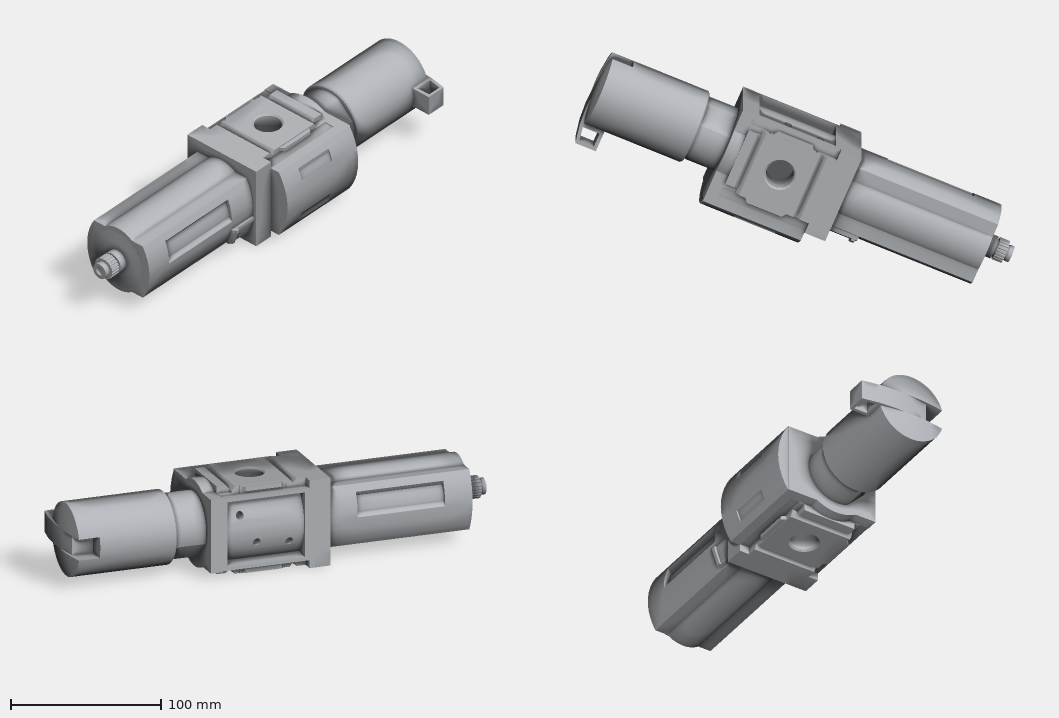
import cadquery as cq
import math


HALF_WIDTH = 62.0 / 2
HOUSING_BOTTOM_Y = -46.0
HOUSING_TOP_Y = 39.5
CORE_HALF_LENGTH = 31.0
CORE_HALF_WIDTH = 47.5 / 2
FRAME_HALF_HEIGHT = 26.0
STRIP_HALF_HEIGHT = 25.5
COLLAR_RADIUS = 30.2
COLLAR_HALF_CHORD = 15.0

GROOVE_INNER_Y = 19.5
GROOVE_OUTER_Y = 24.5
GROOVE_DEPTH = 3.0
PAD_HALF_WIDTH = 20.0
CORNER_FLOOR_Z = 26.3

TAB_HALF_LENGTH = 14.8
TAB_REACH = 3.0
TAB_CHAMFER = 2.0
TAB_LOW_Z = 27.5
TAB_HIGH_Z = 30.2

NOTCH_INNER_Y = 16.3
NOTCH_WIDTH = 1.5
NOTCH_DEPTH = 0.5

PORT_DIAMETER = 18.7
PORT_MOUTH_DIAMETER = 21.0
PORT_DEPTH = 21.0

WINDOW_HALF_LENGTH = 27.8
WINDOW_HALF_HEIGHT = 23.0
WINDOW_FLOOR_HALF_HEIGHT = 21.5
WINDOW_DEPTH = 15.0
INNER_WALL_RADIUS = 29.5
SMALL_HOLE_DIAMETER = 5.5
SMALL_HOLE_DEPTH = 9.0
SMALL_HOLE_PLACES = [(17.5, 11.2), (5.7, -8.8), (-17.8, -11.2)]

SIDE_PLATE_X = HALF_WIDTH + 7.2
COVER_X = HALF_WIDTH + 15.0
COVER_BOTTOM_Y = -31.5
COVER_TOP_Y = 39.0
COVER_SLOT_HALF_LENGTH = 15.0
COVER_SLOT_INNER_X = 40.8
COVER_SLOT_OUTER_X = 44.0
COVER_SLOT_DEPTH = 3.0

BOWL_BOTTOM_Y = -148.8
BOWL_HALF_WIDTH = 55.8 / 2
BOWL_FLAT_Z = 42.5 / 2
BOWL_CORNER_X = 43.8 / 2
BOWL_CROWN_Z = 25.5
BOWL_CROWN_HALF_WIDTH = 24.5 / 2
SIGHT_TOP_Y = -66.7
SIGHT_BOTTOM_Y = -129.2
SIGHT_OUTER_Z = (-0.5, 16.3)
SIGHT_FLOOR_Z = (2.0, 13.0)
SIGHT_FLOOR_RADIUS = 51.0 / 2
CONE_RADIUS = 43.2 / 2
CONE_END_RADIUS = 23.8 / 2
CONE_HEIGHT = 1.0

LATCH_OUTLINE = [(21.0, -20.5), (25.5, -20.5), (29.0, -10.0), (29.0, -7.5), (26.0, -7.5)]
LATCH_BOTTOM_Y = -66.7
LATCH_RIDGE_OUTLINE = [(25.5, -20.5), (27.0, -20.5), (30.8, -10.0), (30.8, -7.5), (26.0, -7.5)]
LATCH_RIDGE_TOP_Y = -62.8
LATCH_RIDGE_LENGTH = 2.7

DRAIN_END_Y = -167.5
DRAIN_RADIUS = 15.7 / 2
DRAIN_NECK_RADIUS = 11.8 / 2
DRAIN_TIP_RADIUS = 11.5 / 2
DRAIN_TIP_NECK_RADIUS = 11.0 / 2
COLLAR_END_Y = -155.2
KNURL_TOP_Y = -156.5
KNURL_BOTTOM_Y = -163.3
TIP_TOP_Y = -164.8
FLUTE_COUNT = 20
FLUTE_DIAMETER = 1.2
DRAIN_BORE_DIAMETER = 6.0
DRAIN_BORE_DEPTH = 9.0

NECK_RADIUS = 22.3
NECK_FLAT_DISTANCE = 20.5
NECK_FLAT_ANGLE = 45.0
KNOB_RADIUS = 51.0 / 2
KNOB_BOTTOM_Y = 61.3
KNOB_EDGE_Y = 131.3
KNOB_CHAMFER = 1.0
CROWN_Y = 134.3

SLIDE_HALF_THICKNESS = 14.8 / 2
SLIDE_BOTTOM_Y = 116.5
SLIDE_TRAVEL = 14.0
SLIDE_FLOOR = 2.5
SLIDE_WALL = 1.95
EYE_LEFT_X = 27.2


def box(x_range, y_range, z_range):
    """Box between the given limits along each axis."""
    return cq.Workplane("XY").box(
        x_range[1] - x_range[0], y_range[1] - y_range[0], z_range[1] - z_range[0], centered=False
    ).translate((x_range[0], y_range[0], z_range[0]))


def section_at(y):
    """Workplane across the axis at height y; its local axes are X and Z, its normal is -Y."""
    return cq.Workplane("XZ", origin=(0, y, 0))


def disc(radius, y_low, y_high):
    """Cylinder about the Y axis."""
    return section_at(y_high).circle(radius).extrude(y_high - y_low)


def both_faces(feature):
    """A feature of the +Z face together with its mirror image at the -Z face."""
    return feature.union(feature.mirror("XY"))


def both_sides(feature):
    """A feature of the -X side together with its mirror image at the +X side."""
    return feature.union(feature.mirror("YZ"))


def frame_and_core():
    """Square base, raised core between lowered side strips, and top plate with round collar."""
    full = (-HALF_WIDTH, HALF_WIDTH)
    core_length = (-CORE_HALF_LENGTH, CORE_HALF_LENGTH)
    base = box(full, (HOUSING_BOTTOM_Y, -CORE_HALF_LENGTH), full)
    core = box((-CORE_HALF_WIDTH, CORE_HALF_WIDTH), core_length, full)
    strips = box(full, core_length, (-STRIP_HALF_HEIGHT, STRIP_HALF_HEIGHT))
    plate_y = (CORE_HALF_LENGTH, HOUSING_TOP_Y)
    plate = box((-HALF_WIDTH, SIDE_PLATE_X), plate_y, (-FRAME_HALF_HEIGHT, FRAME_HALF_HEIGHT))
    collar = disc(COLLAR_RADIUS, *plate_y).intersect(
        box((-COLLAR_HALF_CHORD, COLLAR_HALF_CHORD), plate_y, full)
    )
    return base.union(core).union(strips).union(plate).union(collar)


def groove_cutter():
    """V-grooves across both port faces, and the low corners beside the raised pads."""
    bottom_y = (GROOVE_INNER_Y + GROOVE_OUTER_Y) / 2
    bottom_z = HALF_WIDTH - GROOVE_DEPTH
    v_groove = (
        cq.Workplane("YZ", origin=(-CORE_HALF_WIDTH, 0, 0))
        .polyline([(GROOVE_INNER_Y, HALF_WIDTH), (bottom_y, bottom_z), (GROOVE_OUTER_Y, HALF_WIDTH)])
        .close()
        .extrude(2 * CORE_HALF_WIDTH)
    )
    corner = box(
        (-CORE_HALF_WIDTH, -PAD_HALF_WIDTH),
        (bottom_y, CORE_HALF_LENGTH),
        (CORNER_FLOOR_Z, HALF_WIDTH),
    )
    return both_faces(v_groove.union(v_groove.mirror("XZ")).union(both_sides(corner)))


def side_tabs():
    """Thin trapezoidal tabs on both sides of both port faces."""
    tip_x = -CORE_HALF_WIDTH - TAB_REACH
    tip_half_length = TAB_HALF_LENGTH - TAB_CHAMFER
    tab = (
        cq.Workplane("XY", origin=(0, 0, TAB_LOW_Z))
        .polyline([
            (-CORE_HALF_WIDTH, -TAB_HALF_LENGTH),
            (tip_x, -tip_half_length),
            (tip_x, tip_half_length),
            (-CORE_HALF_WIDTH, TAB_HALF_LENGTH),
        ])
        .close()
        .extrude(TAB_HIGH_Z - TAB_LOW_Z)
    )
    return both_faces(both_sides(tab))


def notch_cutter():
    """Shallow upright notches in the -X side of the core, at both ends of each tab."""
    notch = box(
        (-CORE_HALF_WIDTH, -CORE_HALF_WIDTH + NOTCH_DEPTH),
        (NOTCH_INNER_Y, NOTCH_INNER_Y + NOTCH_WIDTH),
        (STRIP_HALF_HEIGHT, HALF_WIDTH),
    )
    return both_faces(notch.union(notch.mirror("XZ")))


def port_cutter():
    """Countersunk blind ports in both port faces."""
    rim = (PORT_MOUTH_DIAMETER - PORT_DIAMETER) / 2
    half_profile = [
        (0, HALF_WIDTH),
        (PORT_MOUTH_DIAMETER / 2, HALF_WIDTH),
        (PORT_DIAMETER / 2, HALF_WIDTH - rim),
        (PORT_DIAMETER / 2, HALF_WIDTH - PORT_DEPTH),
        (0, HALF_WIDTH - PORT_DEPTH),
    ]
    port = cq.Workplane("XZ").polyline(half_profile).close().revolve(360, (0, 0, 0), (0, 1, 0))
    return both_faces(port)


def window_cutter():
    """Tapered opening in the -X side around the cylindrical inner wall, with its small holes."""
    floor_x = -HALF_WIDTH + WINDOW_DEPTH
    opening = (
        section_at(WINDOW_HALF_LENGTH)
        .polyline([
            (-HALF_WIDTH, -WINDOW_HALF_HEIGHT),
            (floor_x, -WINDOW_FLOOR_HALF_HEIGHT),
            (floor_x, WINDOW_FLOOR_HALF_HEIGHT),
            (-HALF_WIDTH, WINDOW_HALF_HEIGHT),
        ])
        .close()
        .extrude(2 * WINDOW_HALF_LENGTH)
        .cut(disc(INNER_WALL_RADIUS, -WINDOW_HALF_LENGTH, WINDOW_HALF_LENGTH))
    )
    for y, z in SMALL_HOLE_PLACES:
        wall_x = -math.sqrt(INNER_WALL_RADIUS**2 - z**2)
        hole_end_x = wall_x + SMALL_HOLE_DEPTH
        hole = (
            cq.Workplane("YZ", origin=(-HALF_WIDTH, y, z))
            .circle(SMALL_HOLE_DIAMETER / 2)
            .extrude(hole_end_x + HALF_WIDTH)
        )
        opening = opening.union(hole)
    return opening


def gauge_cover():
    """Side plate with the curved cover and its two shallow slots."""
    plate = box(
        (HALF_WIDTH, SIDE_PLATE_X),
        (COVER_BOTTOM_Y, HOUSING_TOP_Y),
        (-FRAME_HALF_HEIGHT, FRAME_HALF_HEIGHT),
    )
    cover = (
        section_at(COVER_TOP_Y)
        .moveTo(SIDE_PLATE_X, -FRAME_HALF_HEIGHT)
        .threePointArc((COVER_X, 0), (SIDE_PLATE_X, FRAME_HALF_HEIGHT))
        .close()
        .extrude(COVER_TOP_Y - COVER_BOTTOM_Y)
    )
    rise = COVER_X - SIDE_PLATE_X
    arc_radius = (rise**2 + FRAME_HALF_HEIGHT**2) / (2 * rise)
    arc_centre_x = COVER_X - arc_radius

    def surface_z(x):
        return math.sqrt(arc_radius**2 - (x - arc_centre_x)**2)

    inner_z = surface_z(COVER_SLOT_INNER_X)
    outer_z = surface_z(COVER_SLOT_OUTER_X)
    slot = (
        section_at(COVER_SLOT_HALF_LENGTH)
        .polyline([
            (COVER_SLOT_INNER_X, inner_z - COVER_SLOT_DEPTH),
            (COVER_SLOT_OUTER_X, outer_z - COVER_SLOT_DEPTH),
            (COVER_SLOT_OUTER_X, FRAME_HALF_HEIGHT),
            (COVER_SLOT_INNER_X, FRAME_HALF_HEIGHT),
        ])
        .close()
        .extrude(2 * COVER_SLOT_HALF_LENGTH)
    )
    return plate.union(cover.cut(both_faces(slot)))


def sight_slot_cutter():
    """Slots with flared long walls in both sides of the bowl, down to a cylindrical floor."""
    outer_low, outer_high = SIGHT_OUTER_Z
    floor_low, floor_high = SIGHT_FLOOR_Z

    def bowl_side_x(z):
        sag = BOWL_HALF_WIDTH - BOWL_CORNER_X
        side_radius = (sag**2 + BOWL_FLAT_Z**2) / (2 * sag)
        return BOWL_HALF_WIDTH - side_radius + math.sqrt(side_radius**2 - z**2)

    def floor_x(z):
        return math.sqrt(SIGHT_FLOOR_RADIUS**2 - z**2)

    floor_middle_z = (floor_low + floor_high) / 2
    slot = (
        section_at(SIGHT_TOP_Y)
        .moveTo(-HALF_WIDTH, outer_low)
        .lineTo(-bowl_side_x(outer_low), outer_low)
        .lineTo(-floor_x(floor_low), floor_low)
        .threePointArc((-floor_x(floor_middle_z), floor_middle_z), (-floor_x(floor_high), floor_high))
        .lineTo(-bowl_side_x(outer_high), outer_high)
        .lineTo(-HALF_WIDTH, outer_high)
        .close()
        .extrude(SIGHT_TOP_Y - SIGHT_BOTTOM_Y)
    )
    return both_sides(slot)


def bowl():
    """Bowl with round sides and crowned flats, sight slots, latch and conical bottom."""
    shell = (
        section_at(HOUSING_BOTTOM_Y)
        .moveTo(-BOWL_CORNER_X, BOWL_FLAT_Z)
        .lineTo(-BOWL_CROWN_HALF_WIDTH, BOWL_FLAT_Z)
        .threePointArc((0, BOWL_CROWN_Z), (BOWL_CROWN_HALF_WIDTH, BOWL_FLAT_Z))
        .lineTo(BOWL_CORNER_X, BOWL_FLAT_Z)
        .threePointArc((BOWL_HALF_WIDTH, 0), (BOWL_CORNER_X, -BOWL_FLAT_Z))
        .lineTo(BOWL_CROWN_HALF_WIDTH, -BOWL_FLAT_Z)
        .threePointArc((0, -BOWL_CROWN_Z), (-BOWL_CROWN_HALF_WIDTH, -BOWL_FLAT_Z))
        .lineTo(-BOWL_CORNER_X, -BOWL_FLAT_Z)
        .threePointArc((-BOWL_HALF_WIDTH, 0), (-BOWL_CORNER_X, BOWL_FLAT_Z))
        .close()
        .extrude(HOUSING_BOTTOM_Y - BOWL_BOTTOM_Y)
        .cut(sight_slot_cutter())
    )
    latch = (
        section_at(HOUSING_BOTTOM_Y)
        .polyline(LATCH_OUTLINE)
        .close()
        .extrude(HOUSING_BOTTOM_Y - LATCH_BOTTOM_Y)
    )
    ridge = (
        section_at(LATCH_RIDGE_TOP_Y)
        .polyline(LATCH_RIDGE_OUTLINE)
        .close()
        .extrude(LATCH_RIDGE_LENGTH)
    )
    cone = (
        section_at(BOWL_BOTTOM_Y)
        .circle(CONE_RADIUS)
        .workplane(offset=CONE_HEIGHT)
        .circle(CONE_END_RADIUS)
        .loft()
    )
    return shell.union(latch).union(ridge).union(cone)


def drain_screw():
    """Stepped drain with a fluted grip and a central bore."""
    drain = disc(DRAIN_RADIUS, COLLAR_END_Y, BOWL_BOTTOM_Y)
    grip = disc(DRAIN_RADIUS, KNURL_BOTTOM_Y, KNURL_TOP_Y)
    flutes = (
        section_at(KNURL_TOP_Y)
        .polarArray(DRAIN_RADIUS, 0, 360, FLUTE_COUNT)
        .circle(FLUTE_DIAMETER / 2)
        .extrude(KNURL_TOP_Y - KNURL_BOTTOM_Y)
    )
    drain = drain.union(disc(DRAIN_NECK_RADIUS, KNURL_TOP_Y, COLLAR_END_Y))
    drain = drain.union(grip.cut(flutes))
    drain = drain.union(disc(DRAIN_TIP_NECK_RADIUS, TIP_TOP_Y, KNURL_BOTTOM_Y))
    drain = drain.union(disc(DRAIN_TIP_RADIUS, DRAIN_END_Y, TIP_TOP_Y))
    return drain.cut(disc(DRAIN_BORE_DIAMETER / 2, DRAIN_END_Y, DRAIN_END_Y + DRAIN_BORE_DEPTH))


def crown_radius():
    """Radius of the domed end shared by knob and slide."""
    height = CROWN_Y - KNOB_EDGE_Y
    return (KNOB_RADIUS**2 + height**2) / (2 * height)


def crown_y(distance):
    """Height of the dome at a distance from its middle."""
    return CROWN_Y - crown_radius() + math.sqrt(crown_radius()**2 - distance**2)


def neck():
    """Round neck with two opposite flats."""
    across_flats = (
        cq.Workplane("XY")
        .box(2 * NECK_FLAT_DISTANCE, KNOB_BOTTOM_Y, 2 * NECK_RADIUS, centered=(True, False, True))
        .rotate((0, 0, 0), (0, 1, 0), -NECK_FLAT_ANGLE)
    )
    return disc(NECK_RADIUS, HOUSING_TOP_Y, KNOB_BOTTOM_Y).intersect(across_flats)


def knob():
    """Domed knob with the through slot for the locking slide."""
    middle = KNOB_RADIUS / 2
    body = (
        cq.Workplane("XY")
        .moveTo(0, KNOB_BOTTOM_Y)
        .lineTo(KNOB_RADIUS - KNOB_CHAMFER, KNOB_BOTTOM_Y)
        .lineTo(KNOB_RADIUS, KNOB_BOTTOM_Y + KNOB_CHAMFER)
        .lineTo(KNOB_RADIUS, KNOB_EDGE_Y)
        .threePointArc((middle, crown_y(middle)), (0, CROWN_Y))
        .close()
        .revolve(360, (0, 0, 0), (0, 1, 0))
    )
    slot = box(
        (-KNOB_RADIUS, KNOB_RADIUS),
        (SLIDE_BOTTOM_Y, CROWN_Y),
        (-SLIDE_HALF_THICKNESS, SLIDE_HALF_THICKNESS),
    )
    return body.cut(slot)


def make_regulator():
    """Housing, gauge cover, bowl, drain, neck and knob as one solid."""
    housing = (
        frame_and_core()
        .cut(groove_cutter())
        .cut(notch_cutter())
        .union(side_tabs())
        .cut(port_cutter())
        .cut(window_cutter())
    )
    housing = housing.union(gauge_cover())
    return housing.union(bowl()).union(drain_screw()).union(neck()).union(knob())


def make_locking_slide():
    """Slide with the knob's domed outline, pulled out towards +X, with a padlock eye."""
    left_x = SLIDE_TRAVEL - KNOB_RADIUS
    right_x = SLIDE_TRAVEL + KNOB_RADIUS
    thickness = 2 * SLIDE_HALF_THICKNESS
    base_plane = cq.Workplane("XY", origin=(0, 0, -SLIDE_HALF_THICKNESS))
    bar = (
        base_plane
        .moveTo(left_x, SLIDE_BOTTOM_Y)
        .lineTo(right_x, SLIDE_BOTTOM_Y)
        .lineTo(right_x, KNOB_EDGE_Y)
        .threePointArc((SLIDE_TRAVEL, CROWN_Y), (left_x, KNOB_EDGE_Y))
        .close()
        .extrude(thickness)
    )
    eye_right_x = right_x - SLIDE_WALL
    eye_bottom_y = SLIDE_BOTTOM_Y + SLIDE_FLOOR
    eye = (
        base_plane
        .polyline([
            (EYE_LEFT_X, eye_bottom_y),
            (eye_right_x, eye_bottom_y),
            (eye_right_x, crown_y(eye_right_x - SLIDE_TRAVEL) - SLIDE_FLOOR),
            (EYE_LEFT_X, crown_y(EYE_LEFT_X - SLIDE_TRAVEL) - SLIDE_FLOOR),
        ])
        .close()
        .extrude(thickness)
    )
    return bar.cut(eye)


regulator = make_regulator()
locking_slide = make_locking_slide()

result = cq.Compound.makeCompound([regulator.val(), locking_slide.val()])